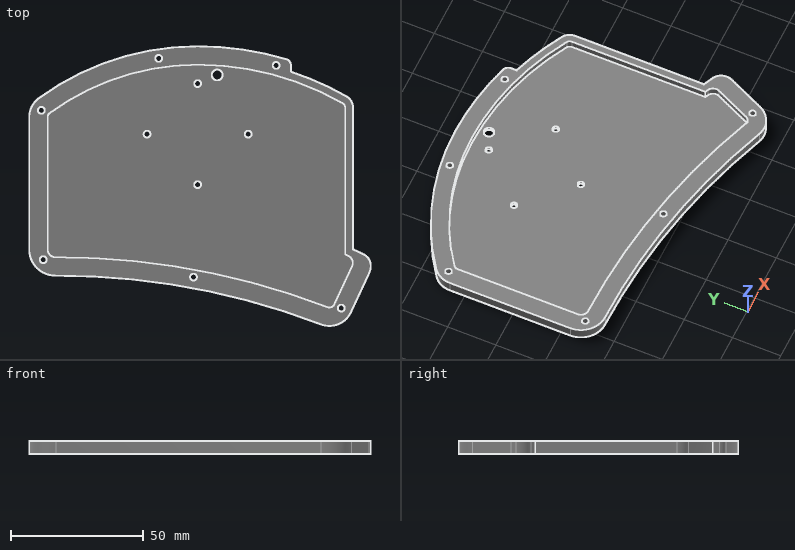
import cadquery as cq
import math


thickness = 5.0
floor_thickness = 1.5

wide_rim = 7.0
narrow_rim = 3.0

pocket_left = -56.65
pocket_right = 55.75
crown_y = 26.22
crown_left_radius = 94.5
crown_right_radius = 110.4
lower_arc_center = (-52.5, -329.4)
lower_arc_radius = 282.9
tab_start_y = -45.4
tab_tilt = 25.0
tab_reach = 4.23
small_corner_radius = 2.0
large_corner_radius = 3.0

lug_right = 35.3
lug_corner_radius = 2.5
tab_corner_radius = 5.0

screw_diameter = 2.5
cable_diameter = 4.0
pattern_side = 27.0
cable_hole = (7.4, 22.35)
rim_holes = [
    (-14.7, 28.6),
    (29.65, 25.95),
    (-59.0, 9.0),
    (-58.3, -47.4),
    (-1.55, -54.0),
    (54.25, -65.7),
]

tab_angle = math.radians(-tab_tilt)
tab_direction = cq.Vector(math.cos(tab_angle), math.sin(tab_angle))
tab_normal = cq.Vector(-tab_direction.y, tab_direction.x)
tab_start = cq.Vector(pocket_right, tab_start_y)


def crown_y_at(x):
    """Height of the upper pocket wall, two arcs tangent at the crown."""
    radius = crown_left_radius if x < 0 else crown_right_radius
    return crown_y - radius + math.sqrt(radius**2 - x**2)


def lower_y_at(x):
    """Height of the lower pocket wall."""
    center_x, center_y = lower_arc_center
    return center_y + math.sqrt(lower_arc_radius**2 - (x - center_x) ** 2)


def lower_tab_corner(tab_corner):
    """Point where the tab's end wall meets the lower arc."""
    from_center = tab_corner - cq.Vector(*lower_arc_center)
    along = from_center.dot(tab_normal)
    across = from_center.dot(tab_direction)
    distance = along - math.sqrt(lower_arc_radius**2 - across**2)
    return tab_corner - tab_normal * distance


def round_corner(body, corner, radius):
    """Round the upright edge nearest to a corner point."""
    x, y = corner
    nearest = cq.selectors.NearestToPointSelector((x, y, thickness / 2))
    return body.edges("|Z").edges(nearest).fillet(radius)


def pocket_prism():
    """Full-height prism with the outline of the pocket, corners rounded."""

    def crown_point(x):
        return (x, crown_y_at(x))

    tab_corner = tab_start + tab_direction * tab_reach
    heel = lower_tab_corner(tab_corner)
    lower_left = (pocket_left, lower_y_at(pocket_left))
    lower_middle_x = (pocket_left + heel.x) / 2
    lower_middle = (lower_middle_x, lower_y_at(lower_middle_x))
    prism = (
        cq.Workplane("XY")
        .moveTo(*lower_left)
        .lineTo(*crown_point(pocket_left))
        .threePointArc(crown_point(pocket_left / 2), (0, crown_y))
        .threePointArc(crown_point(pocket_right / 2), crown_point(pocket_right))
        .lineTo(tab_start.x, tab_start.y)
        .lineTo(tab_corner.x, tab_corner.y)
        .lineTo(heel.x, heel.y)
        .threePointArc(lower_middle, lower_left)
        .close()
        .extrude(thickness)
    )
    rounded_corners = [
        (crown_point(pocket_left), small_corner_radius),
        (crown_point(pocket_right), small_corner_radius),
        ((heel.x, heel.y), small_corner_radius),
        ((tab_corner.x, tab_corner.y), large_corner_radius),
        (lower_left, large_corner_radius),
    ]
    for corner, radius in rounded_corners:
        prism = round_corner(prism, corner, radius)
    return prism


def grown(prism, distance):
    """Prism whose outline lies a given distance outside the pocket's."""
    outline = prism.faces("<Z").wires().val().offset2D(distance)[0]
    return cq.Workplane("XY").add(outline).toPending().extrude(thickness)


def narrow_side_cutter(far):
    """Block covering everything right of the lug and above the tab."""
    notch_start = tab_start + tab_normal * narrow_rim
    notch_slope = tab_direction.y / tab_direction.x

    def notch_y_at(x):
        return notch_start.y + notch_slope * (x - notch_start.x)

    return (
        cq.Workplane("XY")
        .moveTo(lug_right, far)
        .lineTo(lug_right, notch_y_at(lug_right))
        .lineTo(far, notch_y_at(far))
        .lineTo(far, far)
        .close()
        .extrude(thickness)
    )


def rim_prism(pocket):
    """Outer body: wide rim, narrowed along the right side up to the lug."""
    wide = grown(pocket, wide_rim)
    far = wide.val().BoundingBox().DiagonalLength
    wide = wide.cut(narrow_side_cutter(far))
    lug_corner = (lug_right, crown_y_at(lug_right) + wide_rim)
    tab_corner = tab_start + tab_direction * (tab_reach + wide_rim) + tab_normal * narrow_rim
    wide = round_corner(wide, lug_corner, lug_corner_radius)
    wide = round_corner(wide, (tab_corner.x, tab_corner.y), tab_corner_radius)
    return wide.union(grown(pocket, narrow_rim))


def drill(body, points, diameter):
    """Through holes at the given points."""
    holes = cq.Workplane("XY").pushPoints(points).circle(diameter / 2).extrude(thickness)
    return body.cut(holes)


def pattern_points():
    """Corners of the square hole pattern, one on each axis direction."""
    reach = pattern_side / math.sqrt(2)
    return [(reach, 0), (0, reach), (-reach, 0), (0, -reach)]


pocket = pocket_prism()
tray = rim_prism(pocket).cut(pocket.translate((0, 0, floor_thickness)))
tray = drill(tray, pattern_points() + rim_holes, screw_diameter)
result = drill(tray, [cable_hole], cable_diameter)